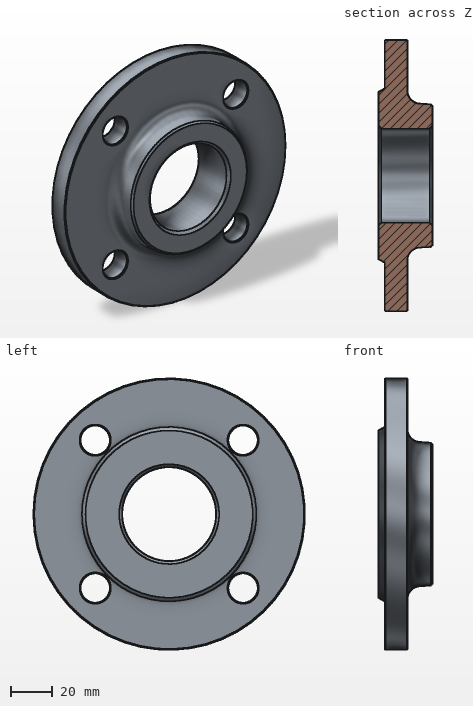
import cadquery as cq
import math


raised_face_height = 3.0
plate_thickness = 11.0
total_length = 26.0
plate_back = raised_face_height + plate_thickness

plate_radius = 130.0 / 2
plate_chamfer = 0.5

raised_face_radius = 80.0 / 2
raised_face_angle = 30.0
raised_face_base_radius = raised_face_radius + raised_face_height * math.tan(math.radians(raised_face_angle))

hub_end_radius = 68.4 / 2
hub_taper_angle = 4.0
hub_end_chamfer = 1.0
hub_fillet_radius = 6.0

bore_radius = 44.84 / 2
bore_mouth_radius = 47.8 / 2
bore_chamfer = bore_mouth_radius - bore_radius

bolt_circle_radius = 100.0 / 2
bolt_hole_radius = 14.0 / 2
bolt_hole_chamfer = 0.5
bolt_hole_count = 4
first_bolt_angle = 45.0


def make_body():
    """Revolve the flange section, with x along the axis and y as the radius."""
    taper = math.radians(hub_taper_angle)
    chamfer_start_x = total_length - hub_end_chamfer

    fillet_end_x = plate_back + hub_fillet_radius * (1 - math.sin(taper))
    fillet_end_radius = hub_end_radius + (chamfer_start_x - fillet_end_x) * math.tan(taper)
    fillet_center_x = plate_back + hub_fillet_radius
    fillet_center_radius = fillet_end_radius + hub_fillet_radius * math.cos(taper)
    middle_angle = (math.pi / 2 + taper) / 2
    fillet_middle = (
        fillet_center_x - hub_fillet_radius * math.sin(middle_angle),
        fillet_center_radius - hub_fillet_radius * math.cos(middle_angle),
    )

    section = (
        cq.Workplane("XY")
        .moveTo(0, bore_mouth_radius)
        .lineTo(0, raised_face_radius)
        .lineTo(raised_face_height, raised_face_base_radius)
        .lineTo(raised_face_height, plate_radius - plate_chamfer)
        .lineTo(raised_face_height + plate_chamfer, plate_radius)
        .lineTo(plate_back - plate_chamfer, plate_radius)
        .lineTo(plate_back, plate_radius - plate_chamfer)
        .lineTo(plate_back, fillet_center_radius)
        .threePointArc(fillet_middle, (fillet_end_x, fillet_end_radius))
        .lineTo(chamfer_start_x, hub_end_radius)
        .lineTo(total_length, hub_end_radius - hub_end_chamfer)
        .lineTo(total_length, bore_mouth_radius)
        .lineTo(total_length - bore_chamfer, bore_radius)
        .lineTo(bore_chamfer, bore_radius)
        .close()
    )
    return section.revolve(360, (0, 0, 0), (1, 0, 0))


def make_bolt_hole_cutter(angle):
    """Turned cutter for one bolt hole, chamfered at both plate faces."""
    mouth_radius = bolt_hole_radius + bolt_hole_chamfer
    profile = (
        cq.Workplane("XY")
        .moveTo(raised_face_height, 0)
        .lineTo(raised_face_height, mouth_radius)
        .lineTo(raised_face_height + bolt_hole_chamfer, bolt_hole_radius)
        .lineTo(plate_back - bolt_hole_chamfer, bolt_hole_radius)
        .lineTo(plate_back, mouth_radius)
        .lineTo(plate_back, 0)
        .close()
    )
    cutter = profile.revolve(360, (0, 0, 0), (1, 0, 0))
    return cutter.translate((0, bolt_circle_radius, 0)).rotate((0, 0, 0), (1, 0, 0), angle)


result = make_body()
for index in range(bolt_hole_count):
    hole_angle = first_bolt_angle + index * 360.0 / bolt_hole_count
    result = result.cut(make_bolt_hole_cutter(hole_angle))